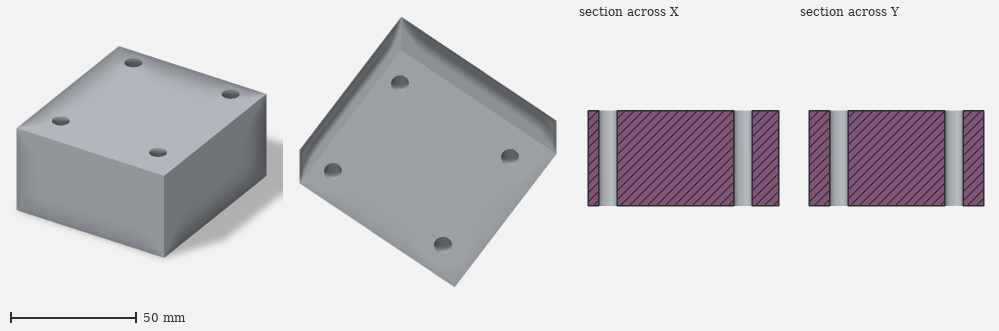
import cadquery as cq

width = 69.9
length = 76.2
height = 38.1

hole_diameter = 7.2
hole_spacing_x = 46.0
hole_spacing_y = 54.0
back_edge_to_hole = 7.9

rear_hole_y = length / 2 - back_edge_to_hole
pattern_center_y = rear_hole_y - hole_spacing_y / 2

block = cq.Workplane("XY").box(width, length, height)

result = (
    block.faces(">Z")
    .workplane()
    .center(0, pattern_center_y)
    .rect(hole_spacing_x, hole_spacing_y, forConstruction=True)
    .vertices()
    .hole(hole_diameter)
)